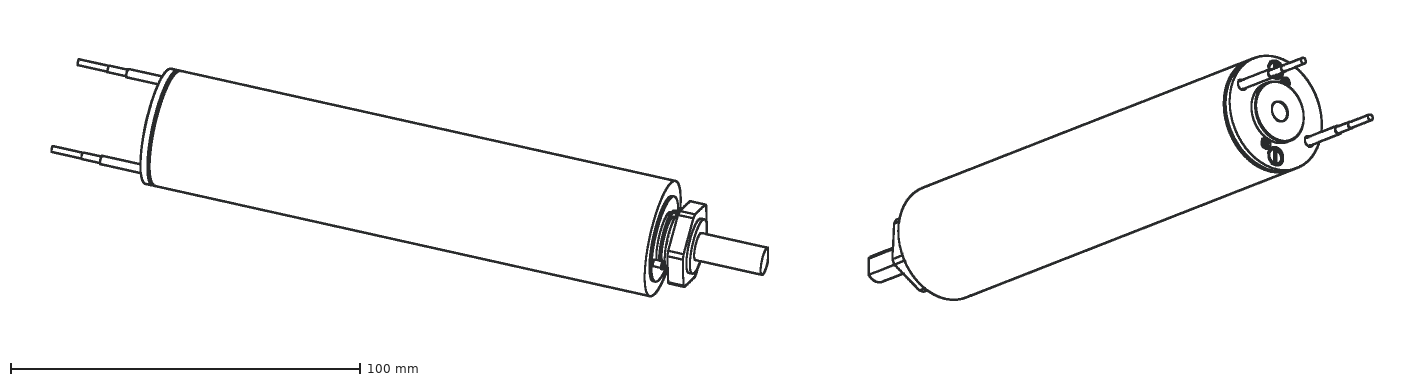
import cadquery as cq
import math


wire_neck_x = 9.0
insulation_x = 14.7
boss_x = 26.1
body_x = 28.0
groove_x = 30.1
groove_width = 0.6
flange_x = 179.9
collar_x = 180.5
ring_x = 181.5
ring_width = 0.2
thread_x = 183.0
nut_x = 185.0
nut_thickness = 4.6
thread_end_x = 190.5
flat_x = 192.5
overall_length = 210.5
wire_root_x = groove_x

boss_diameter = 18.0
boss_chamfer = 0.2
body_diameter = 34.0
groove_diameter = 33.5
flange_diameter = 25.0
collar_diameter = 16.0
ring_diameter = 17.3
neck_diameter = 14.0
thread_diameter = 16.0
shaft_diameter = 8.0
shaft_flat_height = 3.2

nut_across_flats = 22.1
nut_corner_diameter = 24.6
nut_angle = 3.0

pin_diameter = 2.0
pin_offset = 10.3
pin_end_x = 183.6
pin_chamfer_length = 0.6
pin_chamfer_width = 0.2

centre_recess_diameter = 6.0
centre_recess_depth = 0.5
wire_hole_diameter = 3.2
wire_tip_diameter = 1.8
wire_neck_diameter = 2.0
insulation_diameter = 2.5
wire_circle_radius = 13.7
wire_angle = math.radians(26)
wire_y = wire_circle_radius * math.cos(wire_angle)
wire_z = wire_circle_radius * math.sin(wire_angle)
vent_outer_diameter = 3.2
vent_inner_diameter = 1.8
vent_y = 3.5
vent_z = 10.0
screw_offset = 13.0
screw_hole_diameter = 5.5
screw_head_diameter = 4.5
screw_slot_width = 0.8
rear_hole_depth = 1.0
vent_depth = 2.1
screw_head_depth = 0.2


def cylinder(diameter, start_x, end_x, y=0.0, z=0.0):
    """Round bar parallel to X."""
    plane = cq.Workplane("YZ", origin=(start_x, y, z))
    return plane.circle(diameter / 2).extrude(end_x - start_x)


def turned(sections, end_x):
    """Solid of revolution about X from (start x, diameter) sections laid end to end."""
    ends = [start for start, _ in sections[1:]] + [end_x]
    outline = [(sections[0][0], 0.0)]
    for (start, diameter), end in zip(sections, ends):
        outline.append((start, diameter / 2))
        outline.append((end, diameter / 2))
    outline.append((end_x, 0.0))
    return cq.Workplane("XY").polyline(outline).close().revolve(360, (0, 0, 0), (1, 0, 0))


def motor_body():
    return turned(
        [
            (boss_x, boss_diameter),
            (body_x, body_diameter),
            (groove_x, groove_diameter),
            (groove_x + groove_width, body_diameter),
            (flange_x, flange_diameter),
            (collar_x, collar_diameter),
            (ring_x, ring_diameter),
            (ring_x + ring_width, neck_diameter),
            (thread_x, thread_diameter),
            (thread_end_x, shaft_diameter),
        ],
        overall_length,
    )


def shaft_flat():
    """Material removed on the +Y side of the output shaft."""
    length = overall_length - flat_x
    blank = cq.Workplane("XY").box(length, shaft_diameter, shaft_diameter, centered=(False, False, True))
    return blank.translate((flat_x, shaft_flat_height, 0))


def nut():
    corner_to_corner = nut_across_flats / math.cos(math.pi / 6)
    hexagon = cq.Workplane("YZ").polygon(6, corner_to_corner).extrude(nut_thickness)
    hexagon = hexagon.rotate((0, 0, 0), (1, 0, 0), 90 + nut_angle)
    return hexagon.translate((nut_x, 0, 0)).intersect(
        cylinder(nut_corner_diameter, nut_x, nut_x + nut_thickness)
    )


def locating_pin(side):
    pin = cylinder(pin_diameter, flange_x, pin_end_x, y=side * pin_offset)
    return pin.faces(">X").chamfer(pin_chamfer_length, pin_chamfer_width)


def wire(side):
    y = side * wire_y
    z = side * wire_z
    stepped = turned(
        [
            (0.0, wire_tip_diameter),
            (wire_neck_x, wire_neck_diameter),
            (insulation_x, insulation_diameter),
        ],
        wire_root_x,
    )
    return stepped.translate((0, y, z))


def wire_hole(side):
    return cylinder(
        wire_hole_diameter, body_x, body_x + rear_hole_depth, side * wire_y, side * wire_z
    )


def vent(side):
    """Stepped round hole beside the rear boss, cutting into the boss edge."""
    y = -side * vent_y
    z = side * vent_z
    outer = cylinder(vent_outer_diameter, boss_x, body_x + rear_hole_depth, y, z)
    inner = cylinder(vent_inner_diameter, boss_x, body_x + vent_depth, y, z)
    return outer.union(inner)


def screw_recess(side):
    """Counterbore left around and above a slotted screw head."""
    z = side * screw_offset
    bore = cylinder(screw_hole_diameter, body_x, body_x + rear_hole_depth, z=z)
    head = cylinder(screw_head_diameter, body_x + screw_head_depth, body_x + rear_hole_depth, z=z)
    slot = cq.Workplane("XY").box(2 * rear_hole_depth, screw_slot_width, screw_head_diameter)
    return bore.cut(head.cut(slot.translate((body_x, 0, z))))


result = motor_body().faces("<X").chamfer(boss_chamfer).cut(shaft_flat())
result = result.cut(cylinder(centre_recess_diameter, boss_x, boss_x + centre_recess_depth))
result = result.union(nut())
for side in (1, -1):
    result = result.cut(wire_hole(side)).cut(vent(side)).cut(screw_recess(side))
    result = result.union(wire(side)).union(locating_pin(side))

result = result.translate((-overall_length / 2, 0, 0))